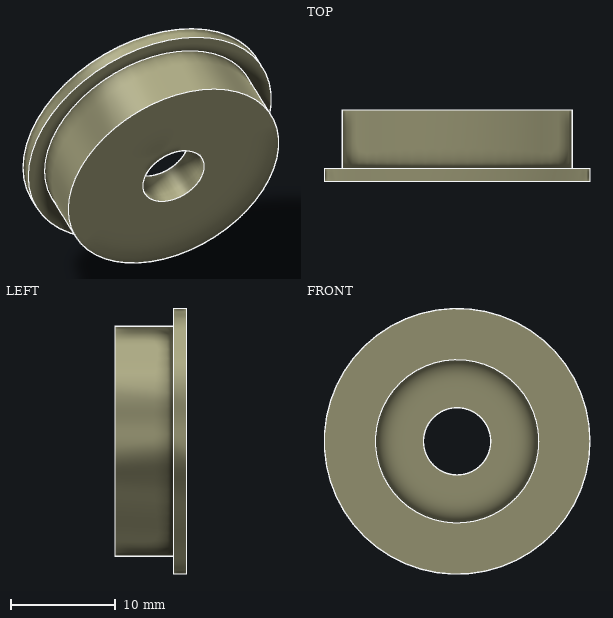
import cadquery as cq

flange_diameter = 25.4
flange_thickness = 1.27
total_length = 6.85
body_diameter = 22.0
recess_diameter = 15.6
recess_depth = 3.15
bore_diameter = 6.4


def cylinder_along_y(diameter, length):
    """Solid cylinder from the flange face toward +Y."""
    return cq.Workplane("XZ").circle(diameter / 2).extrude(-length)


flange = cylinder_along_y(flange_diameter, flange_thickness)
body = cylinder_along_y(body_diameter, total_length)

recess = cylinder_along_y(recess_diameter, recess_depth)
bore = cylinder_along_y(bore_diameter, total_length)

result = flange.union(body).cut(recess).cut(bore)